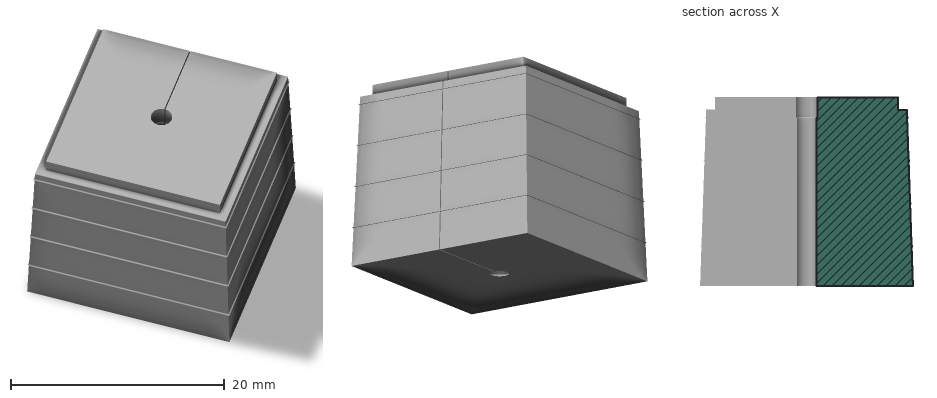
import cadquery as cq
import math

BASE_WIDTH = 19.9
TOTAL_HEIGHT = 17.7
BOSS_WIDTH = 17.1
BOSS_HEIGHT = 1.2
DRAFT_ANGLE = 2.0

RIDGE_COUNT = 4
RIDGE_PITCH = 4.0
FIRST_RIDGE_Z = 3.72
RIDGE_HEIGHT = 0.1
RIDGE_PROJECTION = 0.1

MOUTH_DIAMETER = 2.0
THROAT_DIAMETER = 1.8
SLIT_WIDTH = 0.1

SHOULDER_Z = TOTAL_HEIGHT - BOSS_HEIGHT
DRAFT_SLOPE = math.tan(math.radians(DRAFT_ANGLE))


def width_at(z):
    """Width of the square drafted body at height z."""
    return BASE_WIDTH - 2 * z * DRAFT_SLOPE


def square_frustum(bottom_z, bottom_width, top_z, top_width):
    """Square block whose width changes linearly with height."""
    return (
        cq.Workplane("XY", origin=(0, 0, bottom_z))
        .rect(bottom_width, bottom_width)
        .workplane(offset=top_z - bottom_z)
        .rect(top_width, top_width)
        .loft(ruled=True)
    )


def make_body():
    """Drafted block carrying the square boss, centred on the Z axis."""
    drafted = square_frustum(0, BASE_WIDTH, SHOULDER_Z, width_at(SHOULDER_Z))
    boss = square_frustum(SHOULDER_Z, BOSS_WIDTH, TOTAL_HEIGHT, BOSS_WIDTH)
    return drafted.union(boss)


def make_ridge(bottom_z):
    """Slab that stands out from the body at bottom_z and slopes back to it."""
    top_z = bottom_z + RIDGE_HEIGHT
    ridge_width = width_at(bottom_z) + 2 * RIDGE_PROJECTION
    return square_frustum(bottom_z, ridge_width, top_z, width_at(top_z))


def make_bore():
    """Through bore: wide mouth, conical seat, then a narrower throat."""
    seat_bottom_z = FIRST_RIDGE_Z + (RIDGE_COUNT - 1) * RIDGE_PITCH
    seat_top_z = seat_bottom_z + (MOUTH_DIAMETER - THROAT_DIAMETER) / 2
    profile = [
        (0, 0),
        (THROAT_DIAMETER / 2, 0),
        (THROAT_DIAMETER / 2, seat_bottom_z),
        (MOUTH_DIAMETER / 2, seat_top_z),
        (MOUTH_DIAMETER / 2, TOTAL_HEIGHT),
        (0, TOTAL_HEIGHT),
    ]
    return cq.Workplane("XZ").polyline(profile).close().revolve(360, (0, 0), (0, 1))


def make_slit():
    """Thin full-height slot from the bore axis out through the +Y side."""
    return cq.Workplane("XY").box(
        SLIT_WIDTH, BASE_WIDTH, TOTAL_HEIGHT, centered=(True, False, False)
    )


result = make_body()
for index in range(RIDGE_COUNT):
    result = result.union(make_ridge(FIRST_RIDGE_Z + index * RIDGE_PITCH))
result = result.cut(make_bore()).cut(make_slit())